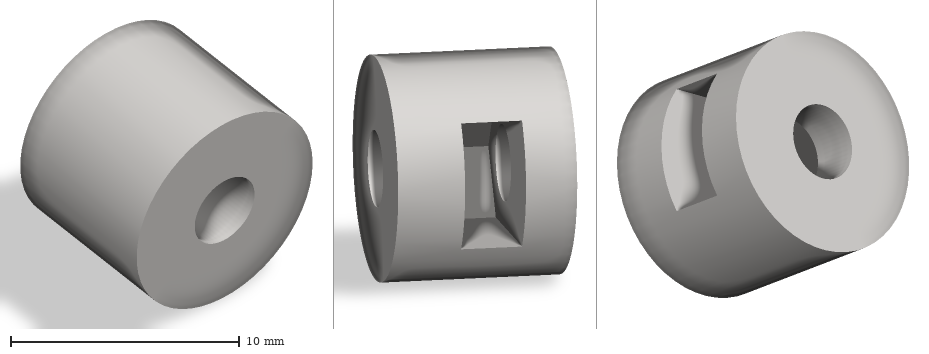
import cadquery as cq
import math

length = 8.0
outer_diameter = 10.0
bore_diameter = 3.4
slot_thickness = 2.72
slot_offset = 2.29
slot_width = 5.66

outer_radius = outer_diameter / 2
half_width = slot_width / 2
nut_corner_radius = slot_width / math.sqrt(3)
slot_start = slot_offset - length / 2


def make_sleeve():
    """Round sleeve along X, centred on the origin, with a through bore."""
    return (
        cq.Workplane("YZ")
        .circle(outer_radius)
        .circle(bore_diameter / 2)
        .extrude(length / 2, both=True)
    )


def make_nut_slot():
    """Nut slot open toward +Y, ending in half a hexagon around the bore."""
    shoulder = -nut_corner_radius / 2
    return (
        cq.Workplane("YZ", origin=(slot_start, 0, 0))
        .moveTo(outer_radius, half_width)
        .lineTo(shoulder, half_width)
        .lineTo(-nut_corner_radius, 0)
        .lineTo(shoulder, -half_width)
        .lineTo(outer_radius, -half_width)
        .close()
        .extrude(slot_thickness)
    )


result = make_sleeve().cut(make_nut_slot())